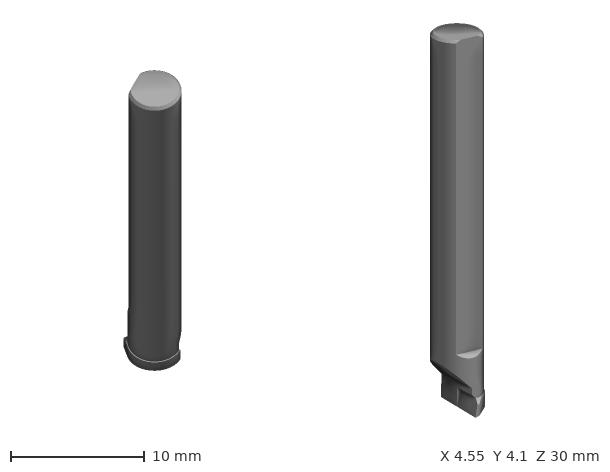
import cadquery as cq
import math

length = 30.0
shank_radius = 2.0
end_chamfer = 0.2

flat_x = -1.62
flat_bottom_z = 5.0

relief_corner_z = 2.15
relief_y = 0.0

head_radius = 2.1
head_top_z = 1.35
tip_x = -2.45
land_x = -2.37
land_y = -0.4
flank_y = -1.35
flank_x = -math.sqrt(head_radius**2 - flank_y**2)
shoulder_z = 0.95
bottom_rise_x = 0.27
bottom_slope_y = 0.11

groove_bottom_z = 0.12
groove_top_z = 1.68
groove_deep_z = 1.32
groove_depth = 0.33

margin = 1.5


def make_shank():
    shank = cq.Workplane("XY").circle(shank_radius).extrude(length)
    return shank.faces(">Z").chamfer(end_chamfer)


def make_flat_cutter():
    outer_x = -shank_radius - margin
    ramp_bottom_z = flat_bottom_z - (flat_x - outer_x)
    return (
        cq.Workplane("XZ")
        .moveTo(flat_x, flat_bottom_z)
        .lineTo(flat_x, length + margin)
        .lineTo(outer_x, length + margin)
        .lineTo(outer_x, ramp_bottom_z)
        .close()
        .extrude(head_radius + margin, both=True)
    )


def make_relief_cutter():
    outer_y = shank_radius + margin
    return (
        cq.Workplane("YZ")
        .moveTo(relief_y, -margin)
        .lineTo(relief_y, relief_corner_z)
        .lineTo(outer_y, relief_corner_z + outer_y - relief_y)
        .lineTo(outer_y, -margin)
        .close()
        .extrude(head_radius + margin, both=True)
    )


def make_head():
    arc_middle = (head_radius * math.sqrt(0.5), -head_radius * math.sqrt(0.5))
    head = (
        cq.Workplane("XY")
        .moveTo(tip_x, relief_y)
        .lineTo(land_x, land_y)
        .lineTo(flank_x, flank_y)
        .threePointArc(arc_middle, (head_radius, relief_y))
        .close()
        .extrude(head_top_z)
    )
    profile = (
        cq.Workplane("XZ")
        .moveTo(tip_x, 0)
        .lineTo(land_x, shoulder_z)
        .lineTo(-shank_radius, head_top_z)
        .lineTo(head_radius, head_top_z)
        .lineTo(head_radius, 0)
        .close()
        .extrude(head_radius + margin)
    )
    return head.intersect(profile)


def make_bottom_cutter():
    bottom_slope_x = bottom_rise_x / (head_radius - tip_x)
    normal = (-bottom_slope_x, bottom_slope_y, 1)
    plane = cq.Plane(origin=(tip_x, relief_y, 0), xDir=(1, 0, bottom_slope_x), normal=normal)
    width = 4 * (head_radius + margin)
    return cq.Workplane(plane).rect(width, width).extrude(-margin)


def make_groove_cutter():
    run = abs(tip_x) + margin
    return (
        cq.Workplane("YZ", origin=(-run, 0, 0))
        .moveTo(relief_y, groove_bottom_z)
        .lineTo(relief_y - groove_depth, groove_deep_z)
        .lineTo(relief_y, groove_top_z)
        .close()
        .extrude(run)
    )


bar = make_shank().cut(make_flat_cutter()).cut(make_relief_cutter())
result = bar.union(make_head()).cut(make_bottom_cutter()).cut(make_groove_cutter())